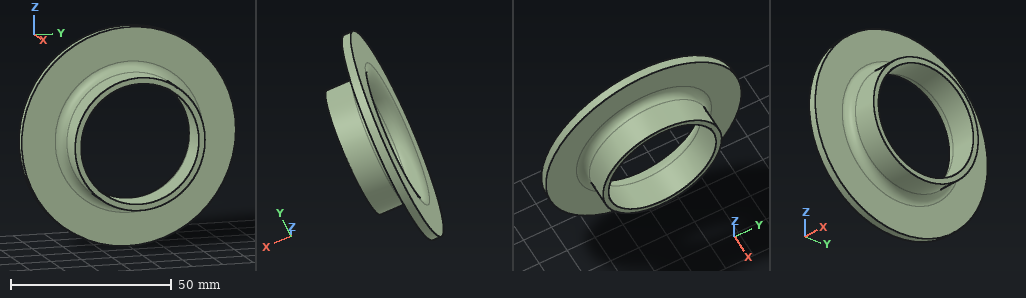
import cadquery as cq
import math

flange_radius = 70.0 / 2
collar_radius = 42.4 / 2
bore_radius = 38.4 / 2
total_length = 15.0
flange_thickness = 3.0
neck_radius = 2.95
mouth_radius = 5.0

diagonal = math.sqrt(0.5)

neck_centre_x = flange_thickness + neck_radius
neck_centre_r = collar_radius + neck_radius
mouth_centre_x = mouth_radius
mouth_centre_r = bore_radius + mouth_radius

neck_mid = (neck_centre_x - diagonal * neck_radius, neck_centre_r - diagonal * neck_radius)
mouth_mid = (mouth_centre_x - diagonal * mouth_radius, mouth_centre_r - diagonal * mouth_radius)

half_section = (
    cq.Workplane("XY")
    .moveTo(0, mouth_centre_r)
    .lineTo(0, flange_radius)
    .lineTo(flange_thickness, flange_radius)
    .lineTo(flange_thickness, neck_centre_r)
    .threePointArc(neck_mid, (neck_centre_x, collar_radius))
    .lineTo(total_length, collar_radius)
    .lineTo(total_length, bore_radius)
    .lineTo(mouth_centre_x, bore_radius)
    .threePointArc(mouth_mid, (0, mouth_centre_r))
    .close()
)

result = half_section.revolve(360, (0, 0, 0), (1, 0, 0))